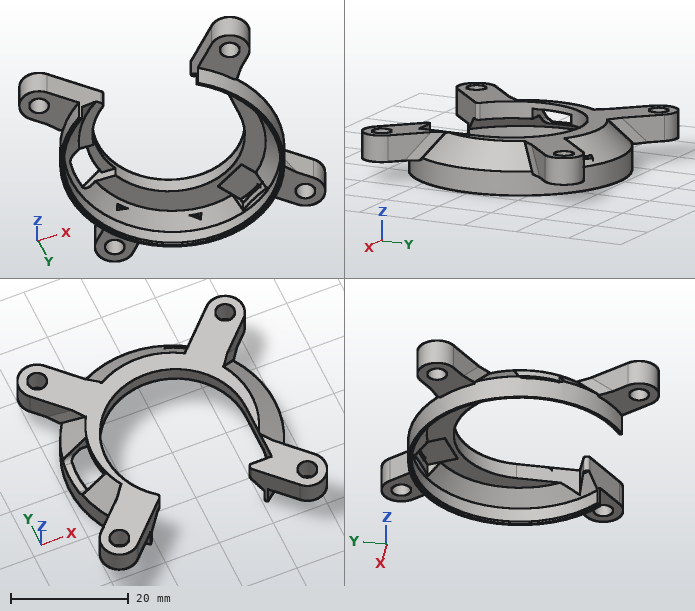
import cadquery as cq
import math

overall_width = 41.6
height = 8.5
arm_half_width = 3.35
hole_radius = 1.65
arm_thickness = 4.65
hole_offset = overall_width / 2 - arm_half_width
hole_reach = hole_offset * math.sqrt(2)
arm_bottom = height - arm_thickness

outer_radius = 19.05
top_radius = 14.75
shoulder_height = height - (outer_radius - top_radius)

inner_radius = 18.42
inner_wall_height = 3.0
ceiling_height = 5.55
ceiling_radius = inner_radius - (ceiling_height - inner_wall_height)
rim_chamfer = 0.3

bore_radius = 12.95
bore_center_y = -1.65
shelf_y = -12.55
tip_fillet = 0.6

wedge_run = 2.6
wedge_rise = 0.7
wedge_overlap = 0.4

window_width = 7.9
window_center_y = -0.35
window_top = 7.28
window_corner = 0.95

recesses = [
    (60, 17.9, 6.4, 5.57),
    (120, 15.7, 14.4, 4.85),
]
recess_start = 12.48
recess_floor = 2.1


def make_shell():
    """Solid of revolution that forms the outside of the ring."""
    profile = [
        (0, 0),
        (outer_radius, 0),
        (outer_radius, shoulder_height),
        (top_radius, height),
        (0, height),
    ]
    return cq.Workplane("XZ").polyline(profile).close().revolve(360, (0, 0, 0), (0, 1, 0))


def make_hollow():
    """Empty space below the top plate, with a chamfered mouth."""
    profile = [
        (0, 0),
        (inner_radius + rim_chamfer, 0),
        (inner_radius, rim_chamfer),
        (inner_radius, inner_wall_height),
        (ceiling_radius, ceiling_height),
        (0, ceiling_height),
    ]
    return cq.Workplane("XZ").polyline(profile).close().revolve(360, (0, 0, 0), (0, 1, 0))


def make_arm(angle):
    """Round-ended arm from the centre outwards."""
    bar = (
        cq.Workplane("XY", origin=(0, 0, arm_bottom))
        .rect(hole_reach, 2 * arm_half_width)
        .extrude(arm_thickness)
        .translate((hole_reach / 2, 0, 0))
    )
    end = (
        cq.Workplane("XY", origin=(hole_reach, 0, arm_bottom))
        .circle(arm_half_width)
        .extrude(arm_thickness)
    )
    return bar.union(end).rotate((0, 0, 0), (0, 0, 1), angle)


def make_wedge(angle, side):
    """Triangular rib running down the cone against one side (+1 or -1) of an arm."""
    crease_x = math.sqrt(top_radius**2 - arm_half_width**2)
    run = wedge_run / math.sqrt(2)
    overlap = wedge_overlap / math.sqrt(2)
    down_slope = cq.Plane(
        origin=(crease_x - height, side * arm_half_width, 2 * height),
        xDir=(1, 0, 1),
        normal=(1, 0, -1),
    )
    rib = (
        cq.Workplane(down_slope)
        .polyline([
            (run, 0),
            (0, side * wedge_rise),
            (-overlap, 0),
            (0, -side * wedge_overlap),
        ])
        .close()
        .extrude(3 * height)
    )
    slab = (
        cq.Workplane("XY", origin=(0, 0, arm_bottom))
        .rect(2 * overall_width, 2 * overall_width)
        .extrude(arm_thickness)
    )
    return rib.intersect(slab).rotate((0, 0, 0), (0, 0, 1), angle)


def make_bore():
    """Vertical opening through the top plate."""
    circle = cq.Workplane("XY").center(0, bore_center_y).circle(bore_radius).extrude(height)
    corner = (
        cq.Workplane("XY", origin=(0, shelf_y, 0))
        .rect(bore_radius, bore_center_y - shelf_y, centered=False)
        .extrude(height)
    )
    return circle.union(corner)


def make_gap():
    """Opening of the ring towards -Y, bounded by the facing sides of two arms."""
    apex_y = -arm_half_width * math.sqrt(2)
    return (
        cq.Workplane("XY")
        .polyline([
            (0, apex_y),
            (overall_width, apex_y - overall_width),
            (-overall_width, apex_y - overall_width),
        ])
        .close()
        .extrude(height)
    )


def make_window():
    """Window through the cone; a thin bridge of plate stays above it."""
    def opening(top):
        return (
            cq.Workplane("XY", origin=(-overall_width / 4, window_center_y, arm_bottom))
            .rect(overall_width / 2, window_width)
            .extrude(top - arm_bottom)
            .edges("|X and <Z")
            .fillet(window_corner)
        )

    plate = cq.Workplane("XY").circle(top_radius).extrude(height)
    return opening(window_top).union(opening(height).cut(plate))


def make_recess(angle, wall_distance, width, top):
    """Box-shaped recess that ends at a flat vertical wall."""
    return (
        cq.Workplane("XY", origin=((recess_start + wall_distance) / 2, 0, recess_floor))
        .rect(wall_distance - recess_start, width)
        .extrude(top - recess_floor)
        .rotate((0, 0, 0), (0, 0, 1), angle)
    )


body = make_shell()
for arm_angle in (45, 135, 225, 315):
    body = body.union(make_arm(arm_angle))
for arm_angle, arm_side in ((45, -1), (135, -1), (135, 1), (225, -1), (315, 1)):
    body = body.union(make_wedge(arm_angle, arm_side))

body = body.cut(make_hollow()).cut(make_bore()).cut(make_gap()).cut(make_window())
for recess in recesses:
    body = body.cut(make_recess(*recess))

body = body.cut(
    cq.Workplane("XY")
    .rect(2 * hole_offset, 2 * hole_offset, forConstruction=True)
    .vertices()
    .circle(hole_radius)
    .extrude(height)
)

side_offset = arm_half_width * math.sqrt(2)
right_tip_x = -shelf_y - side_offset
chord_offset = (side_offset + bore_center_y) / math.sqrt(2)
half_chord = math.sqrt(bore_radius**2 - chord_offset**2)
left_tip_x = (chord_offset - half_chord) / math.sqrt(2)
left_tip_y = left_tip_x - side_offset
tip_z = (height + ceiling_height) / 2
for tip in ((right_tip_x, shelf_y, tip_z), (left_tip_x, left_tip_y, tip_z)):
    body = body.edges(cq.selectors.NearestToPointSelector(tip)).fillet(tip_fillet)

result = body